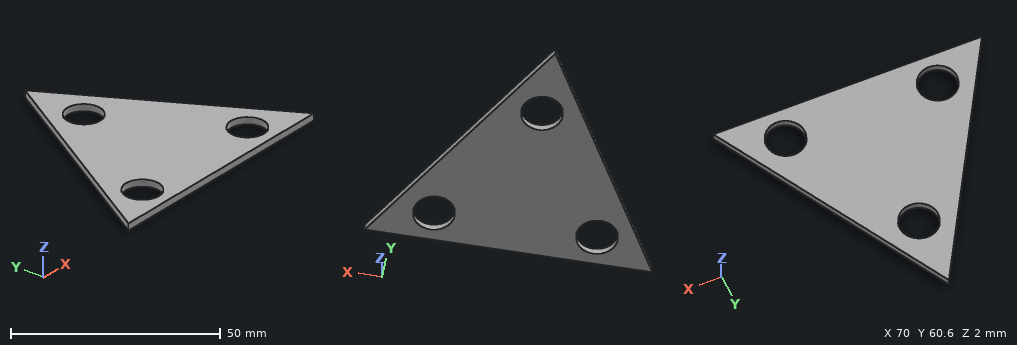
import cadquery as cq
import math

side = 70.0
height = side * math.sqrt(3) / 2
thickness = 2.0

hole_diameter = 10.0
hole_spacing = 39.6
hole_base_offset = 8.0
hole_shift_x = -0.2

hole_centers = [
    (hole_shift_x - hole_spacing / 2, hole_base_offset),
    (hole_shift_x + hole_spacing / 2, hole_base_offset),
    (hole_shift_x, hole_base_offset + hole_spacing * math.sqrt(3) / 2),
]

plate = (
    cq.Workplane("XY")
    .polyline([(-side / 2, 0), (side / 2, 0), (0, height)])
    .close()
    .extrude(thickness)
)

holes = (
    cq.Workplane("XY")
    .pushPoints(hole_centers)
    .circle(hole_diameter / 2)
    .extrude(thickness)
)

result = plate.cut(holes)